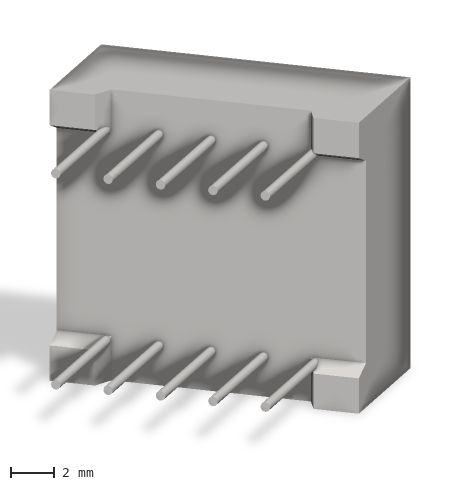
import cadquery as cq

body_width = 15.0
body_height = 14.0
floor_depth = 6.2
foot_height = 1.0
total_depth = 13.3

foot_tip_width = 2.2
foot_tip_height = 1.7
foot_base_width = 2.67
foot_base_height = 2.13

pin_pitch = 2.54
pins_per_row = 5
row_spacing = 10.16
pin_diameter = 0.45
pin_embed = 0.5


def make_body():
    """Main block, up to the recessed floor between the feet."""
    return cq.Workplane("XY").box(body_width, floor_depth, body_height).translate((0, -floor_depth / 2, 0))


def make_foot(side_x, side_z):
    """Corner foot whose two inner sides slope; side_x and side_z (+1 or -1) select the corner."""
    corner_x = side_x * body_width / 2
    corner_z = side_z * body_height / 2

    def rectangle(width, height):
        inner_x = corner_x - side_x * width
        inner_z = corner_z - side_z * height
        corners = [(corner_x, corner_z), (inner_x, corner_z), (inner_x, inner_z), (corner_x, inner_z)]
        return cq.Wire.makePolygon([cq.Vector(x, 0, z) for x, z in corners], close=True)

    base = rectangle(foot_base_width, foot_base_height).translate(cq.Vector(0, -floor_depth, 0))
    tip_depth = floor_depth + foot_height
    tip = rectangle(foot_tip_width, foot_tip_height).translate(cq.Vector(0, -tip_depth, 0))
    return cq.Workplane(cq.Solid.makeLoft([base, tip], True))


def make_pin(x, z):
    """Round pin along -Y, rooted inside the body."""
    start = floor_depth - pin_embed
    return cq.Workplane("XZ", origin=(x, -start, z)).circle(pin_diameter / 2).extrude(total_depth - start)


result = make_body()
for side_z in (-1, 1):
    for side_x in (-1, 1):
        result = result.union(make_foot(side_x, side_z))
    for index in range(pins_per_row):
        pin_x = (index - (pins_per_row - 1) / 2) * pin_pitch
        result = result.union(make_pin(pin_x, side_z * row_spacing / 2))